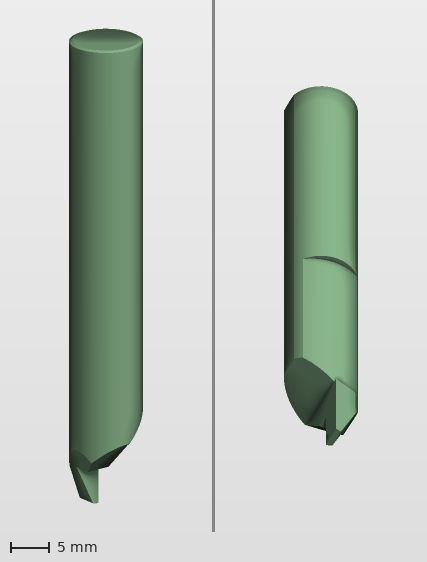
import cadquery as cq
import math

length = 63.5
radius = 4.75
flat_y = 4.5
top_chamfer_width = 0.45
top_chamfer_height = 0.2

neck_top = 31.75
neck_bottom = 9.35
neck_radius = 6.9
neck_depth = 0.75

rake_run_out = 9.6
tip_width = 3.2
tip_thickness = 0.75
tip_height = 5.5
shoulder_x = 0.5
heel_height = 8.65
side_relief_angle = 21.0
inner_relief_angle = 5.0
end_relief_angle = 10.0

margin = 6.35
reach = radius + margin
tip_inner_x = tip_width - radius


def make_shank():
    bar = cq.Workplane("XY").circle(radius).extrude(length)
    bar = bar.faces(">Z").chamfer(top_chamfer_height, top_chamfer_width)
    flat = cq.Workplane("XY").box(2 * reach, margin, length, centered=(True, False, False))
    return bar.cut(flat.translate((0, flat_y, 0)))


def make_neck_cut():
    height = neck_top - neck_bottom
    center_x = neck_depth - radius + neck_radius
    kept = cq.Workplane("XY").center(center_x, 0).circle(neck_radius).extrude(height)
    side = cq.Workplane("XY").box(reach, 2 * reach, height, centered=(False, True, False))
    return side.translate((-reach, 0, 0)).cut(kept).translate((0, 0, neck_bottom))


def extrude_along_x(points):
    """Extrude a closed (y, z) outline across the whole bar."""
    return cq.Workplane("YZ").polyline(points).close().extrude(reach, both=True)


def make_rake_cut():
    """Open the +Y half below a 45 degree run-out, leaving the rake face at y = 0."""
    return extrude_along_x([
        (0, -margin),
        (0, rake_run_out),
        (reach, rake_run_out + reach),
        (reach, -margin),
    ])


def make_heel_cut():
    """Slope the -Y side toward the thin lower edge."""
    slope = heel_height / (radius - tip_thickness)
    return extrude_along_x([
        (-tip_thickness + margin / slope, -margin),
        (-reach, heel_height + margin * slope),
        (-reach, -margin),
    ])


def make_end_relief_cut():
    """Raise the end face from its cutting edge at y = 0 toward -Y."""
    rise = reach * math.tan(math.radians(end_relief_angle))
    return extrude_along_x([(0, 0), (-reach, rise), (-reach, -margin), (0, -margin)])


def make_side_relief_cut():
    """Slope the outer flank inward from its cutting edge at x = -radius."""
    shift = reach * math.tan(math.radians(side_relief_angle))
    outline = [(-radius, 0), (-radius + shift, -reach), (-reach, -reach), (-reach, 0)]
    return cq.Workplane("XY").polyline(outline).close().extrude(neck_bottom)


def make_inner_cut():
    """Clear the space beside the tip, with a relieved inner flank."""
    shift = reach * math.tan(math.radians(inner_relief_angle))
    outline = [(tip_inner_x, 0), (tip_inner_x - shift, -reach), (reach, -reach), (reach, 0)]
    return cq.Workplane("XY").polyline(outline).close().extrude(tip_height)


def make_shoulder_cut():
    """Bevel the +X side at 45 degrees down to the root of the tip."""
    run = reach - shoulder_x
    outline = [(shoulder_x, tip_height), (reach, tip_height + run), (reach, tip_height)]
    return cq.Workplane("XZ").polyline(outline).close().extrude(reach, both=True)


result = make_shank()
for cutter in (
    make_neck_cut(),
    make_rake_cut(),
    make_heel_cut(),
    make_end_relief_cut(),
    make_side_relief_cut(),
    make_inner_cut(),
    make_shoulder_cut(),
):
    result = result.cut(cutter)